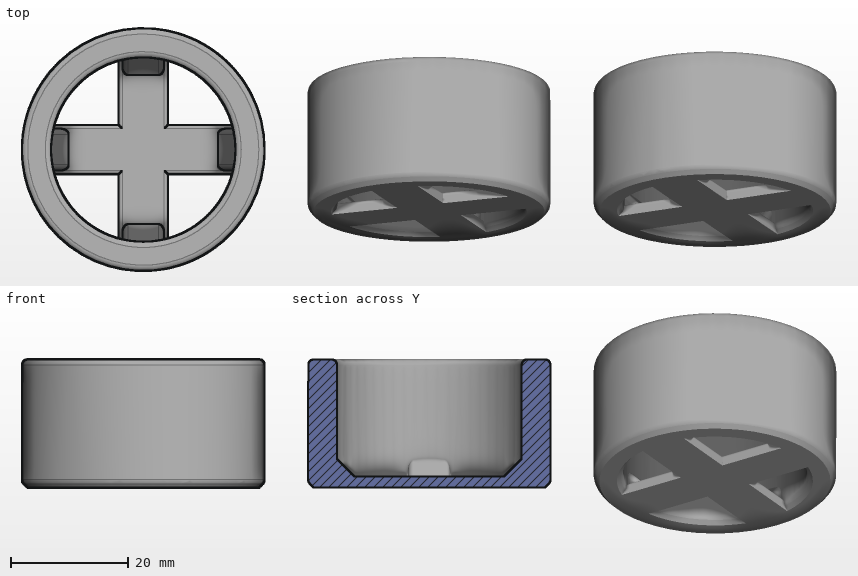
import cadquery as cq
import math

outer_diameter = 41.5
bore_diameter = 31.5
height = 22.0
edge_size = 1.0

arm_width = 8.45
arm_thickness = 2.0
arm_fillet = 0.65

gusset_width = arm_width - 2 * arm_fillet
gusset_toe_radius = 12.75
gusset_angle = 45.0
gusset_fillet = 1.0

bore_radius = bore_diameter / 2
embed_radius = bore_radius + 2 * edge_size


def make_ring():
    ring = cq.Workplane("XY").circle(outer_diameter / 2).circle(bore_radius).extrude(height)
    ring = ring.faces(">Z").edges().fillet(edge_size)
    ring = ring.faces("<Z").edges().chamfer(edge_size)
    chamfer_tops = cq.selectors.BoxSelector(
        (-outer_diameter, -outer_diameter, edge_size / 2),
        (outer_diameter, outer_diameter, 3 * edge_size / 2),
        boundingbox=True,
    )
    return ring.edges(chamfer_tops).fillet(edge_size)


def make_cross():
    span = 2 * embed_radius
    cross = cq.Workplane("XY").rect(span, arm_width).extrude(arm_thickness)
    cross = cross.union(cq.Workplane("XY").rect(arm_width, span).extrude(arm_thickness))
    return cross.faces(">Z").edges().fillet(arm_fillet)


def make_gusset():
    rise = (embed_radius - gusset_toe_radius) * math.tan(math.radians(gusset_angle))
    profile = [
        (gusset_toe_radius, arm_thickness),
        (embed_radius, arm_thickness + rise),
        (embed_radius, arm_thickness),
    ]
    gusset = cq.Workplane("XZ").polyline(profile).close().extrude(gusset_width / 2, both=True)
    return gusset.edges("not(|X or |Y or |Z)").fillet(gusset_fillet)


result = make_ring().union(make_cross())
for quarter in range(4):
    result = result.union(make_gusset().rotate((0, 0, 0), (0, 0, 1), 90 * quarter))